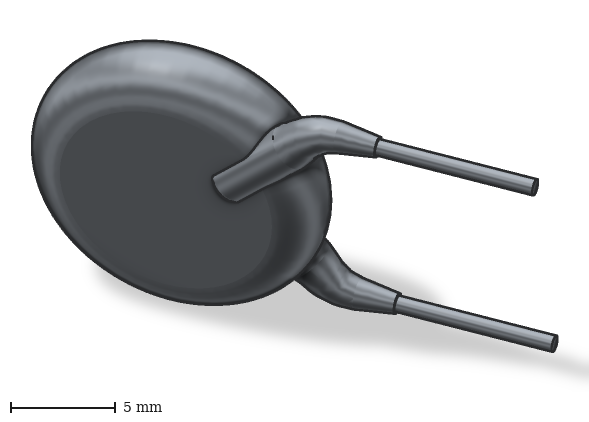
import cadquery as cq
import math

overall_length = 26.0

disc_diameter = 14.97
disc_thickness = 4.15

lead_diameter = 0.8
lead_end_x = overall_length - disc_diameter / 2
lead_y = -1.3
lead_z = 6.1

sleeve_diameter = 2.4
sleeve_length = 4.68
sleeve_end_fillet = 0.4
coating_tip_diameter = 1.01
coating_tip_x = 10.5
seam_x = 6.1
corner_x = 7.45
bend_radius = 2.6
bend_angle = math.radians(45)
bend_steps = 4


def make_disc():
    rim_radius = disc_thickness / 2
    flat_radius = disc_diameter / 2 - rim_radius
    profile = (
        cq.Workplane("XY")
        .moveTo(0, -rim_radius)
        .lineTo(flat_radius, -rim_radius)
        .threePointArc((disc_diameter / 2, 0), (flat_radius, rim_radius))
        .lineTo(0, rim_radius)
        .close()
    )
    return profile.revolve(360, (0, 0, 0), (0, 1, 0))


def axis_plane(x, z, angle):
    """Plane across the lead axis, whose slope in XZ is the given angle."""
    return cq.Plane((x, lead_y, z), (0, 1, 0), (math.cos(angle), 0, math.sin(angle)))


bend_tangent = bend_radius * math.tan(bend_angle / 2)
seam_z = lead_z - (corner_x - seam_x) * math.tan(bend_angle)
bend_end_x = corner_x + bend_tangent


def make_sleeve():
    start_x = seam_x - sleeve_length * math.cos(bend_angle)
    start_z = seam_z - sleeve_length * math.sin(bend_angle)
    sleeve = cq.Workplane(axis_plane(start_x, start_z, bend_angle))
    sleeve = sleeve.circle(sleeve_diameter / 2).extrude(sleeve_length)
    inner_end = cq.selectors.NearestToPointSelector((start_x, lead_y, start_z))
    return sleeve.faces(inner_end).edges().fillet(sleeve_end_fillet)


def make_tapered_bend():
    straight = (corner_x - seam_x) / math.cos(bend_angle) - bend_tangent
    length = straight + bend_radius * bend_angle + coating_tip_x - bend_end_x

    def section(distance, x, z, angle):
        taper = (coating_tip_diameter - sleeve_diameter) * distance / length
        radius = (sleeve_diameter + taper) / 2
        return cq.Workplane(axis_plane(x, z, angle)).circle(radius).val()

    rings = [section(0, seam_x, seam_z, bend_angle)]
    for step in range(bend_steps + 1):
        angle = bend_angle * (1 - step / bend_steps)
        distance = straight + bend_radius * (bend_angle - angle)
        x = bend_end_x - bend_radius * math.sin(angle)
        z = lead_z - bend_radius * (1 - math.cos(angle))
        rings.append(section(distance, x, z, angle))
    bend = cq.Workplane(cq.Solid.makeLoft(rings))
    tip = section(length, coating_tip_x, lead_z, 0)
    return bend.union(cq.Workplane(cq.Solid.makeLoft([rings[-1], tip], True)))


def make_lead():
    lead = cq.Workplane(axis_plane(bend_end_x, lead_z, 0))
    return lead.circle(lead_diameter / 2).extrude(lead_end_x - bend_end_x)


coated_lead = make_sleeve().union(make_tapered_bend()).union(make_lead())
opposite_lead = coated_lead.rotate((0, 0, 0), (1, 0, 0), 180)

result = make_disc().union(coated_lead).union(opposite_lead)